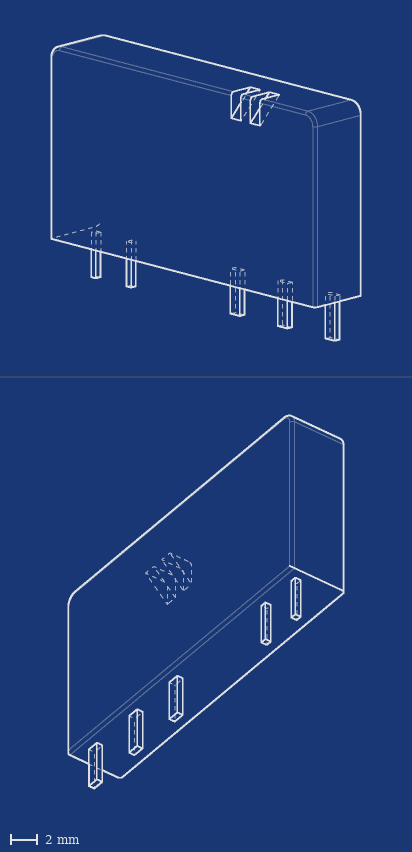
import cadquery as cq

length = 28.0
depth = 5.0
height = 15.0
corner_radius = 1.0
edge_radius = 0.25

pin_length = 3.5
pin_thickness = 0.5
pin_row_y = depth - 1.25
narrow_pin_width = 0.5
wide_pin_width = 2 * narrow_pin_width
narrow_pin_centers = [1.12, 4.85]
first_wide_pin_x = 16.07
wide_pin_pitch = 5.0
wide_pin_count = 3
wide_pin_centers = [first_wide_pin_x + i * wide_pin_pitch for i in range(wide_pin_count)]

notch_width = 1.0
notch_reach = 2.02
first_notch_x = 19.68
notch_pitch = 2 * notch_width
notch_centers = [first_notch_x, first_notch_x + notch_pitch]


def make_housing():
    """Block with round upper corners and eased edges; the lower front edge stays sharp."""
    block = cq.Workplane("XY").box(length, depth, height, centered=False)
    block = block.edges("|Y and >Z").fillet(corner_radius)
    lower_front_edge = cq.selectors.BoxSelector(
        (0, -edge_radius, -edge_radius), (length, edge_radius, edge_radius)
    )
    front_edges = cq.selectors.StringSyntaxSelector("<Y") - lower_front_edge
    back_edges = cq.selectors.StringSyntaxSelector(">Y")
    return block.edges(front_edges + back_edges).fillet(edge_radius)


def make_notch(center_x):
    """Triangular wedge whose sloped face joins the top to the front."""
    return (
        cq.Workplane("YZ", origin=(center_x - notch_width / 2, 0, height))
        .polyline([(0, 0), (notch_reach, 0), (0, -notch_reach)])
        .close()
        .extrude(notch_width)
    )


def make_pin(center_x, width):
    """Rectangular pin hanging from the underside."""
    return (
        cq.Workplane("XY", origin=(center_x, pin_row_y, 0))
        .rect(width, pin_thickness)
        .extrude(-pin_length)
    )


result = make_housing()
for x in notch_centers:
    result = result.cut(make_notch(x))
for x in narrow_pin_centers:
    result = result.union(make_pin(x, narrow_pin_width))
for x in wide_pin_centers:
    result = result.union(make_pin(x, wide_pin_width))